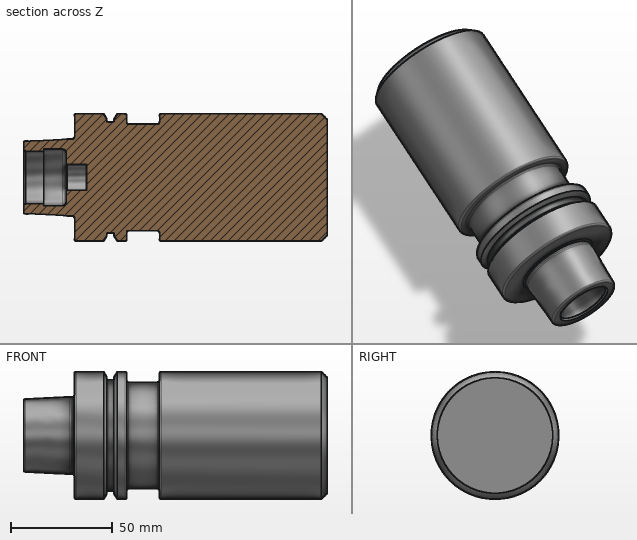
import cadquery as cq
overall_length = 150.0
body_diameter = 63.0
body_start = 67.0
body_end_chamfer = 3.0
edge_radius = 1.0

flange_face = 25.0
taper_nose_radius = 18.0
taper_ratio = 1 / 20
taper_end = 22.6
relief_start = 23.5
relief_radius = 19.0
root_cone_start = 24.5
root_cone_radius = 20.0

flange_end = 51.0
gripper_groove_center = 42.9
gripper_floor_diameter = 55.0
gripper_floor_width = 3.5
gripper_floor_fillet = 0.5
gripper_bevel_run = 1.6
gripper_bevel_depth = 2.7
gripper_overcut = 1.5

neck_diameter = 52.8
neck_flange_fillet = 0.6

bore_radius = 12.9
bore_mouth_flare = 0.8
bore_mouth_depth = 1.0
undercut_start = 10.0
undercut_radius = 14.0
bore_floor = 21.0
floor_fillet = 2.0
center_hole_radius = 6.3
center_hole_chamfer = 0.5
center_hole_depth = 10.0


def turned(points):
    """Revolve an (x, radius) outline about the X axis."""
    return cq.Workplane("XZ").polyline(points).close().revolve(360, (0, 0, 0), (1, 0, 0))


def rims(solid, *places):
    """Select the circular edges at the given (x, radius) places."""
    tolerance = 0.002

    def is_wanted(edge):
        if edge.geomType() != "CIRCLE":
            return False
        return any(
            abs(edge.Center().x - x) < tolerance and abs(edge.radius() - radius) < tolerance
            for x, radius in places
        )

    return solid.edges().filter(is_wanted)


def make_outside():
    body_radius = body_diameter / 2
    neck_radius = neck_diameter / 2
    taper_end_radius = taper_nose_radius + taper_end * taper_ratio
    outside = turned([
        (0, 0),
        (0, taper_nose_radius),
        (taper_end, taper_end_radius),
        (relief_start, relief_radius),
        (root_cone_start, relief_radius),
        (flange_face, root_cone_radius),
        (flange_face, body_radius),
        (flange_end, body_radius),
        (flange_end, neck_radius),
        (body_start, neck_radius),
        (body_start, body_radius),
        (overall_length, body_radius),
        (overall_length, 0),
    ])
    outside = rims(outside, (overall_length, body_radius)).chamfer(body_end_chamfer)
    outside = rims(outside, (flange_end, neck_radius)).fillet(neck_flange_fillet)
    return rims(
        outside,
        (0, taper_nose_radius),
        (flange_face, body_radius),
        (flange_end, body_radius),
        (body_start, neck_radius),
        (body_start, body_radius),
    ).fillet(edge_radius)


def make_gripper_groove():
    rim_radius = body_diameter / 2
    floor_radius = gripper_floor_diameter / 2
    wall_radius = rim_radius - gripper_bevel_depth
    clear_radius = rim_radius + gripper_overcut
    left_wall = gripper_groove_center - gripper_floor_width / 2
    right_wall = gripper_groove_center + gripper_floor_width / 2
    groove = turned([
        (left_wall - gripper_bevel_run, clear_radius),
        (left_wall - gripper_bevel_run, rim_radius),
        (left_wall, wall_radius),
        (left_wall, floor_radius),
        (right_wall, floor_radius),
        (right_wall, wall_radius),
        (right_wall + gripper_bevel_run, rim_radius),
        (right_wall + gripper_bevel_run, clear_radius),
    ])
    return rims(groove, (left_wall, floor_radius), (right_wall, floor_radius)).fillet(gripper_floor_fillet)


def make_bore():
    hole_end = bore_floor + center_hole_depth
    bore = turned([
        (0, 0),
        (0, bore_radius + bore_mouth_flare),
        (bore_mouth_depth, bore_radius),
        (undercut_start, bore_radius),
        (undercut_start, undercut_radius),
        (bore_floor, undercut_radius),
        (bore_floor, center_hole_radius + center_hole_chamfer),
        (bore_floor + center_hole_chamfer, center_hole_radius),
        (hole_end, center_hole_radius),
        (hole_end, 0),
    ])
    return rims(bore, (bore_floor, undercut_radius)).fillet(floor_fillet)


result = make_outside().cut(make_gripper_groove()).cut(make_bore())